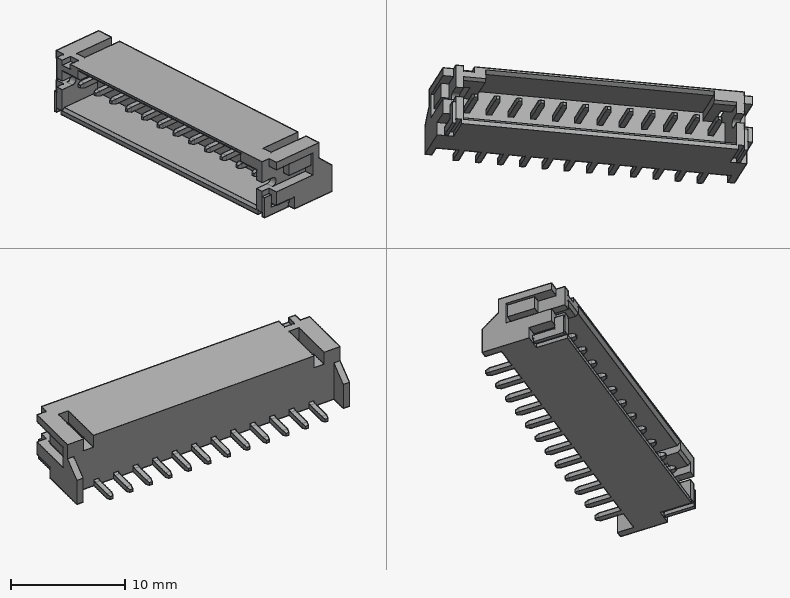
import cadquery as cq


LENGTH = 27.9
HEIGHT = 5.5
DEPTH = 6.0
HALF_LENGTH = LENGTH / 2

LUG_WIDTH = 0.95
LUG_FRONT = 0.85
END_WALL = HALF_LENGTH - LUG_WIDTH
LOWER_LUG_TOP = 2.55
UPPER_LUG_BOTTOM = 4.75
LUG_POCKET_END = 5.25

BLOCK_FRONT = 2.6
BLOCK_BOTTOM = 3.4
BLOCK_INSET = 0.25

FIN_WIDTH = 0.65
FIN_END = 7.6
FIN_SLOPE_TOP = 3.95
FIN_SLOPE_BOTTOM = 2.62

CAVITY_HALF = 12.3
CAVITY_MIDDLE_HALF = 10.3
CAVITY_DEPTH = 4.27
CAVITY_FLOOR = 0.67
CAVITY_SIDE_CEILING = 4.2
CAVITY_MIDDLE_CEILING = 5.0
FLOOR_FLARE = 0.25
SIDE_CEILING_FLARE = 0.25
MIDDLE_CEILING_FLARE = 0.3

SLOT_BOTTOM = LOWER_LUG_TOP
SLOT_TOP = BLOCK_BOTTOM
SLOT_RADIUS = (SLOT_TOP - SLOT_BOTTOM) / 2
SLOT_CENTER_Y = 1.25
SLOT_CENTER_Z = SLOT_TOP - SLOT_RADIUS

GROOVE_WIDTH = 1.0
GROOVE_FRONT = 1.75
GROOVE_FLOOR = CAVITY_SIDE_CEILING
MARK_LENGTH = 1.0
MARK_DEPTH = 0.5

RECESS_TOP = 1.17
RECESS_END = 3.0
NOTCH_WIDTH = 0.53
NOTCH_HEIGHT = 0.42

PIN_COUNT = 12
PIN_ROW = 21.99
PIN_PITCH = PIN_ROW / (PIN_COUNT - 1)
PIN_SIZE = 0.5
PIN_AXIS_Z = 3.12
PIN_TIP_Y = 0.8
PIN_TIP_LENGTH = 0.35
PIN_TIP_SIZE = 0.28
TAIL_END = 8.6
TAIL_TIP_LENGTH = 0.4
TAIL_TIP_SIZE = 0.3
TAIL_BEND_Y = 6.25
TAIL_BEND_RADIUS = 0.3

NAIL_OUTER = HALF_LENGTH - FIN_WIDTH
NAIL_FRONT_HEIGHT = 2.0
NAIL_FOOT_HEIGHT = 0.75
NAIL_RELIEF_DEPTH = 0.1
NAIL_RELIEF_HEIGHT = NOTCH_HEIGHT


def box(x_range, y_range, z_range):
    """Box between the given limits."""
    (x0, x1), (y0, y1), (z0, z1) = x_range, y_range, z_range
    return cq.Workplane("XY").box(x1 - x0, y1 - y0, z1 - z0, centered=False).translate((x0, y0, z0))


def side_profile(points, x0, x1):
    """Outline of (y, z) points extruded along X from x0 to x1."""
    return cq.Workplane("YZ").workplane(offset=x0).polyline(points).close().extrude(x1 - x0)


def both_ends(shape):
    """The shape at the +X end together with its mirror image at the -X end."""
    return shape.union(shape.mirror("YZ"))


def fin():
    outline = [
        (LUG_POCKET_END, 0),
        (FIN_END, 0),
        (FIN_END, FIN_SLOPE_BOTTOM),
        (DEPTH, FIN_SLOPE_TOP),
        (LUG_POCKET_END, FIN_SLOPE_TOP),
    ]
    return side_profile(outline, HALF_LENGTH - FIN_WIDTH, HALF_LENGTH)


def lug():
    """Lower lug, upper lug with its block, and the wall and fin joining them at the rear."""
    x_range = (END_WALL, HALF_LENGTH)
    lower = box(x_range, (LUG_FRONT, DEPTH), (0, LOWER_LUG_TOP))
    upper = box(x_range, (LUG_FRONT, DEPTH), (UPPER_LUG_BOTTOM, HEIGHT))
    rear = box(x_range, (LUG_POCKET_END, DEPTH), (0, HEIGHT))
    block = box(
        (END_WALL, HALF_LENGTH - BLOCK_INSET),
        (BLOCK_FRONT, LUG_POCKET_END),
        (BLOCK_BOTTOM, UPPER_LUG_BOTTOM),
    )
    recess = box(x_range, (LUG_FRONT, RECESS_END), (0, RECESS_TOP))
    return lower.cut(recess).union(upper).union(rear).union(block).union(fin())


def cavity_part(half_width, ceiling, ceiling_flare):
    outline = [
        (0, CAVITY_FLOOR - FLOOR_FLARE),
        (FLOOR_FLARE, CAVITY_FLOOR),
        (CAVITY_DEPTH, CAVITY_FLOOR),
        (CAVITY_DEPTH, ceiling),
        (ceiling_flare, ceiling),
        (0, ceiling + ceiling_flare),
    ]
    return side_profile(outline, -half_width, half_width)


def cavity():
    full_width = cavity_part(CAVITY_HALF, CAVITY_SIDE_CEILING, SIDE_CEILING_FLARE)
    middle = cavity_part(CAVITY_MIDDLE_HALF, CAVITY_MIDDLE_CEILING, MIDDLE_CEILING_FLARE)
    return full_width.union(middle)


def end_wall_slot():
    """Slot open at the mouth and ending in a full half-round."""
    x_range = (CAVITY_HALF, END_WALL)
    straight = box(x_range, (0, SLOT_CENTER_Y), (SLOT_BOTTOM, SLOT_TOP))
    round_end = (
        cq.Workplane("YZ")
        .workplane(offset=CAVITY_HALF)
        .center(SLOT_CENTER_Y, SLOT_CENTER_Z)
        .circle(SLOT_RADIUS)
        .extrude(END_WALL - CAVITY_HALF)
    )
    return straight.union(round_end)


def top_groove():
    """Groove open at the rear, passing through the cavity ceiling further forward."""
    return box((CAVITY_HALF - GROOVE_WIDTH, CAVITY_HALF), (GROOVE_FRONT, DEPTH), (GROOVE_FLOOR, HEIGHT))


def first_pin_mark():
    return box((-CAVITY_HALF, GROOVE_WIDTH - CAVITY_HALF), (0, MARK_LENGTH), (HEIGHT - MARK_DEPTH, HEIGHT))


def bottom_notch():
    return box((END_WALL - NOTCH_WIDTH, END_WALL), (0, RECESS_END), (0, NOTCH_HEIGHT))


def tapered_tip(y, z, length, tip_size):
    """Square tip narrowing from the pin size; a negative length points it to the mouth."""
    direction = 1 if length > 0 else -1
    plane = cq.Plane(origin=(0, y, z), xDir=(1, 0, 0), normal=(0, direction, 0))
    return (
        cq.Workplane(plane)
        .rect(PIN_SIZE, PIN_SIZE)
        .workplane(offset=abs(length))
        .rect(tip_size, tip_size)
        .loft(ruled=True)
    )


def pin():
    """Contact in the cavity and solder tail behind the housing, both rooted in its rear wall."""
    half = PIN_SIZE / 2
    contact_start = PIN_TIP_Y + PIN_TIP_LENGTH
    contact = box(
        (-half, half),
        (contact_start, DEPTH),
        (PIN_AXIS_Z - half, PIN_AXIS_Z + half),
    )
    contact_tip = tapered_tip(contact_start, PIN_AXIS_Z, -PIN_TIP_LENGTH, PIN_TIP_SIZE)

    tail_straight_end = TAIL_END - TAIL_TIP_LENGTH
    tail = box((-half, half), (DEPTH, tail_straight_end), (0, PIN_SIZE))
    bend_corner = box((-half, half), (DEPTH, TAIL_BEND_Y), (PIN_SIZE, PIN_SIZE + TAIL_BEND_RADIUS))
    bend_hollow = (
        cq.Workplane("YZ")
        .workplane(offset=-half)
        .center(TAIL_BEND_Y, PIN_SIZE + TAIL_BEND_RADIUS)
        .circle(TAIL_BEND_RADIUS)
        .extrude(PIN_SIZE)
    )
    tail = tail.union(bend_corner.cut(bend_hollow))
    tail_tip = tapered_tip(tail_straight_end, half, TAIL_TIP_LENGTH, TAIL_TIP_SIZE)
    return contact.union(contact_tip), tail.union(tail_tip)


def make_housing():
    body = box((-END_WALL, END_WALL), (0, DEPTH), (0, HEIGHT))
    body = body.union(both_ends(lug()))
    body = body.cut(cavity())
    for cutter in (end_wall_slot(), top_groove(), bottom_notch()):
        body = body.cut(both_ends(cutter))
    body = body.cut(first_pin_mark())
    contact, tail = pin()
    for index in range(PIN_COUNT):
        offset = (index * PIN_PITCH - PIN_ROW / 2, 0, 0)
        body = body.union(contact.translate(offset)).union(tail.translate(offset))
    return body


def make_nail():
    """L-shaped plate beside the end wall: tall in front of the lug, low in the recess under it."""
    outline = [
        (0, 0),
        (RECESS_END - NAIL_RELIEF_DEPTH, 0),
        (RECESS_END - NAIL_RELIEF_DEPTH, NAIL_RELIEF_HEIGHT),
        (RECESS_END, NAIL_RELIEF_HEIGHT),
        (RECESS_END, NAIL_FOOT_HEIGHT),
        (LUG_FRONT, NAIL_FOOT_HEIGHT),
        (LUG_FRONT, NAIL_FRONT_HEIGHT),
        (0, NAIL_FRONT_HEIGHT),
    ]
    return side_profile(outline, END_WALL, NAIL_OUTER)


housing = make_housing()
right_nail = make_nail()
nails = [right_nail, right_nail.mirror("YZ")]
result = cq.Compound.makeCompound([housing.val(), *[nail.val() for nail in nails]])